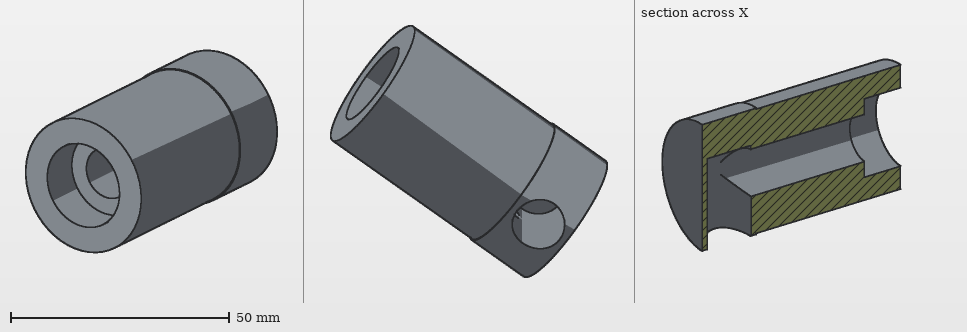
import cadquery as cq

length = 55.0
collar_diameter = 32.5
collar_length = 15.0
body_diameter = 32.0
counterbore_diameter = 20.0
counterbore_depth = 10.0
passage_diameter = 12.0

front_y = -length / 2
back_y = length / 2
cross_hole_y = back_y - collar_length / 2
cross_hole_top = 7.0


def cylinder_along_y(diameter, start_y, end_y):
    """Solid cylinder on the body axis between two Y positions."""
    plane = cq.Workplane("XZ", origin=(0, end_y, 0))
    return plane.circle(diameter / 2).extrude(end_y - start_y)


body = cylinder_along_y(body_diameter, front_y, back_y)
collar = cylinder_along_y(collar_diameter, back_y - collar_length, back_y)

counterbore = cylinder_along_y(counterbore_diameter, front_y, front_y + counterbore_depth)
passage = cylinder_along_y(passage_diameter, front_y, cross_hole_y)

cross_hole = (
    cq.Workplane("XY", origin=(0, cross_hole_y, -collar_diameter / 2))
    .circle(passage_diameter / 2)
    .extrude(collar_diameter / 2 + cross_hole_top)
)

bore = cross_hole.union(passage).union(counterbore)
result = body.union(collar).cut(bore)